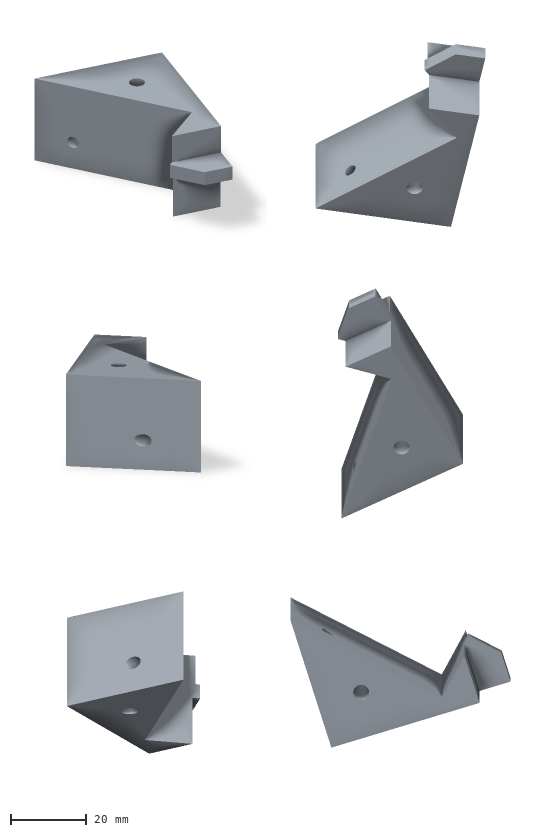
import cadquery as cq

length = 49.5
depth = 36.3
height = 25.0

notch_x = 31.9
notch_y = notch_x - depth
tip_x = 42.4
tip_y = notch_y - (tip_x - notch_x)
end_y = tip_y + (length - tip_x)

tab_bottom = 13.0
tab_top = 17.0
upper_end_x = 41.5
lower_end_x = 40.95

vertical_hole_diameter = 4.2
vertical_hole_inset = 12.0
cross_hole_diameter = 3.3
cross_hole_y = -20.65
cross_hole_z = 8.0


def make_body():
    outline = [
        (0, 0),
        (0, -depth),
        (notch_x, notch_y),
        (tip_x, tip_y),
        (length, end_y),
        (length, 0),
    ]
    return cq.Workplane("XY").polyline(outline).close().extrude(height)


def end_relief(start_x, bottom, top):
    """Block that removes everything right of start_x between two heights."""
    return (
        cq.Workplane("XY", origin=(start_x, -depth, bottom))
        .box(length - start_x, depth, top - bottom, centered=False)
    )


def vertical_hole():
    return (
        cq.Workplane("XY", origin=(vertical_hole_inset, -vertical_hole_inset, 0))
        .circle(vertical_hole_diameter / 2)
        .extrude(height)
    )


def cross_hole():
    """Hole square to the long sloping face, running through to the left face."""
    axis_plane = cq.Plane(
        origin=(0, cross_hole_y, cross_hole_z),
        xDir=(0, 0, 1),
        normal=(1, -1, 0),
    )
    return (
        cq.Workplane(axis_plane)
        .circle(cross_hole_diameter / 2)
        .extrude(depth / 2, both=True)
    )


result = (
    make_body()
    .cut(end_relief(upper_end_x, tab_top, height))
    .cut(end_relief(lower_end_x, 0, tab_bottom))
    .cut(vertical_hole())
    .cut(cross_hole())
)